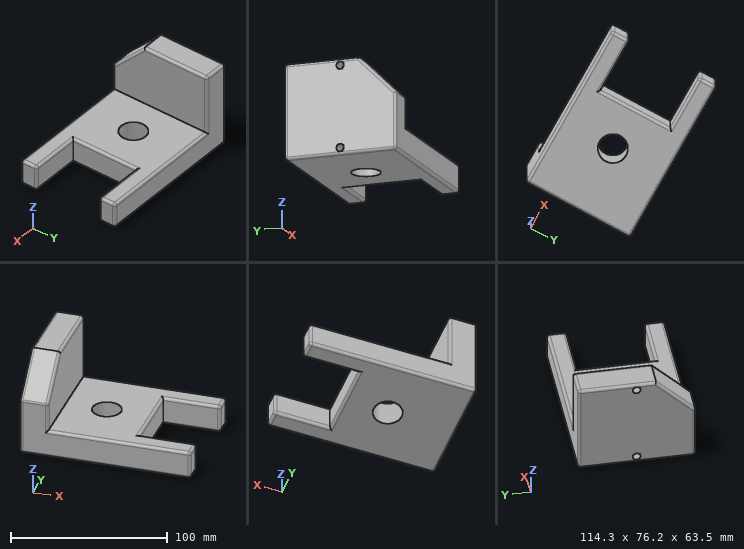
import cadquery as cq
import math

length = 114.3
width = 76.2
height = 63.5
thickness = 19.1
corner_cut = 25.4
edge_radius = 2.0

slot_start = 76.2
slot_width = 50.7

hole_diameter = 19.1
hole_x = 46.4

pin_diameter = 5.0
pin_depth = 10.1
pin_edge_distance = edge_radius + pin_diameter / 2
drill_point_angle = 118.0

TOLERANCE = 0.01


def make_body():
    """Sharp-edged bracket with the sloped corner and the fork slot."""
    body = (
        cq.Workplane("XZ")
        .polyline([
            (0, 0),
            (length, 0),
            (length, thickness),
            (thickness, thickness),
            (thickness, height),
            (0, height),
        ])
        .close()
        .extrude(width / 2, both=True)
    )
    corner = (
        cq.Workplane("YZ")
        .polyline([
            (-width / 2, height),
            (-width / 2 + corner_cut, height),
            (-width / 2, height - corner_cut),
        ])
        .close()
        .extrude(thickness)
    )
    slot = cq.Workplane("XY").box(
        length - slot_start, slot_width, thickness, centered=(False, True, False)
    ).translate((slot_start, 0, 0))
    return body.cut(corner).cut(slot)


def is_rounded(edge):
    """All edges are rounded except the concave ones and the top of the slope."""
    center = edge.Center()
    wall_foot = math.hypot(center.x - thickness, center.z - thickness) < TOLERANCE
    slot_corner = (
        abs(center.x - slot_start) < TOLERANCE
        and abs(abs(center.y) - slot_width / 2) < TOLERANCE
    )
    slope_top = (
        edge.tangentAt(0).cross(cq.Vector(1.1, 0, 0)).Length < TOLERANCE
        and math.hypot(center.y + width / 2 - corner_cut, center.z - height) < TOLERANCE
    )
    return not (wall_foot or slot_corner or slope_top)


def round_edges(body):
    edges = [edge for edge in body.edges().vals() if is_rounded(edge)]
    return body.newObject(edges).fillet(edge_radius)


def make_pin_hole(z):
    """Blind hole along +X with a conical drill point."""
    radius = pin_diameter / 2
    point_length = radius / math.tan(math.radians(drill_point_angle / 2))
    return (
        cq.Workplane("XY")
        .polyline([
            (0, 0),
            (0, radius),
            (pin_depth, radius),
            (pin_depth + point_length, 0),
        ])
        .close()
        .revolve(360, (0, 0, 0), (1, 0, 0))
        .translate((0, 0, z))
    )


result = round_edges(make_body())

base_hole = (
    cq.Workplane("XY").center(hole_x, 0).circle(hole_diameter / 2).extrude(thickness)
)
result = result.cut(base_hole)

for pin_z in (pin_edge_distance, height - pin_edge_distance):
    result = result.cut(make_pin_hole(pin_z))